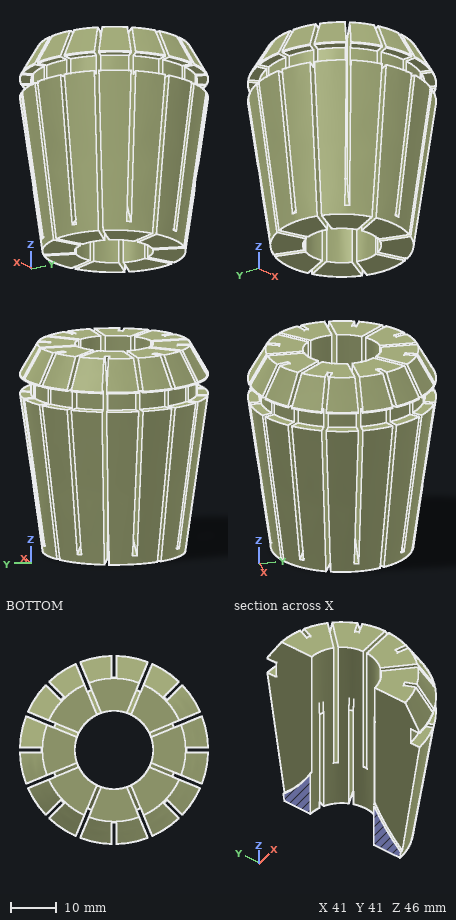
import cadquery as cq
import math

length = 46.0
outer_diameter = 41.0
outer_radius = outer_diameter / 2
bore_diameter = 17.0
bore_radius = bore_diameter / 2

body_half_angle = 8.0
nose_half_angle = 30.0
nose_height = 6.65
lip_height = 0.28
groove_width = 4.15
groove_radius = 18.1

nose_bottom_z = length - nose_height
groove_top_z = nose_bottom_z - lip_height
body_height = groove_top_z - groove_width
bottom_radius = outer_radius - body_height * math.tan(math.radians(body_half_angle))
top_radius = outer_radius - nose_height * math.tan(math.radians(nose_half_angle))

slots_per_set = 8
slot_pitch = 360.0 / slots_per_set
slot_width = 1.0
saw_radius = 36.8
overrun = 4.6

upper_floor_outer_z = 2.0
upper_floor_outer_radius = bottom_radius + upper_floor_outer_z * math.tan(math.radians(body_half_angle))
upper_floor_bore_z = 12.05

lower_end_top_radius = 13.95
lower_end_bore_z = 27.6


def make_body():
    """Revolve the double-tapered outside and the plain bore."""
    return (
        cq.Workplane("XZ")
        .moveTo(bore_radius, 0)
        .lineTo(bottom_radius, 0)
        .lineTo(outer_radius, body_height)
        .lineTo(groove_radius, body_height)
        .lineTo(groove_radius, groove_top_z)
        .lineTo(outer_radius, groove_top_z)
        .lineTo(outer_radius, nose_bottom_z)
        .lineTo(top_radius, length)
        .lineTo(bore_radius, length)
        .close()
        .revolve(360, (0, 0, 0), (0, 1, 0))
    )


def saw_arc_middle(outer_point, bore_point):
    """Middle of the saw arc between two (radius, z) points, bulging toward the axis."""
    run = outer_point[0] - bore_point[0]
    rise = outer_point[1] - bore_point[1]
    chord = math.hypot(run, rise)
    bulge = saw_radius - math.sqrt(saw_radius ** 2 - (chord / 2) ** 2)
    middle_radius = (outer_point[0] + bore_point[0]) / 2 - bulge * abs(rise) / chord
    middle_z = (outer_point[1] + bore_point[1]) / 2 + bulge * math.copysign(run / chord, rise)
    return middle_radius, middle_z


def slot_cutter(outer_point, bore_point, open_z):
    """Cutter along +X with a saw-arc end between two (radius, z) points, open toward open_z."""
    inside = bore_radius - overrun
    outside = outer_radius + overrun
    return (
        cq.Workplane("XZ")
        .moveTo(*outer_point)
        .threePointArc(saw_arc_middle(outer_point, bore_point), bore_point)
        .lineTo(inside, bore_point[1])
        .lineTo(inside, open_z)
        .lineTo(outside, open_z)
        .lineTo(outside, outer_point[1])
        .close()
        .extrude(slot_width / 2, both=True)
    )


def cut_around(part, cutter, first_angle):
    """Cut one set of equally spaced slots."""
    for index in range(slots_per_set):
        angle = first_angle + index * slot_pitch
        part = part.cut(cutter.rotate((0, 0, 0), (0, 0, 1), angle))
    return part


upper_slot = slot_cutter(
    outer_point=(upper_floor_outer_radius, upper_floor_outer_z),
    bore_point=(bore_radius, upper_floor_bore_z),
    open_z=length + overrun,
)
lower_slot = slot_cutter(
    outer_point=(lower_end_top_radius, length),
    bore_point=(bore_radius, lower_end_bore_z),
    open_z=-overrun,
)

collet = make_body()
collet = cut_around(collet, upper_slot, 0.0)
collet = cut_around(collet, lower_slot, slot_pitch / 2)

result = collet